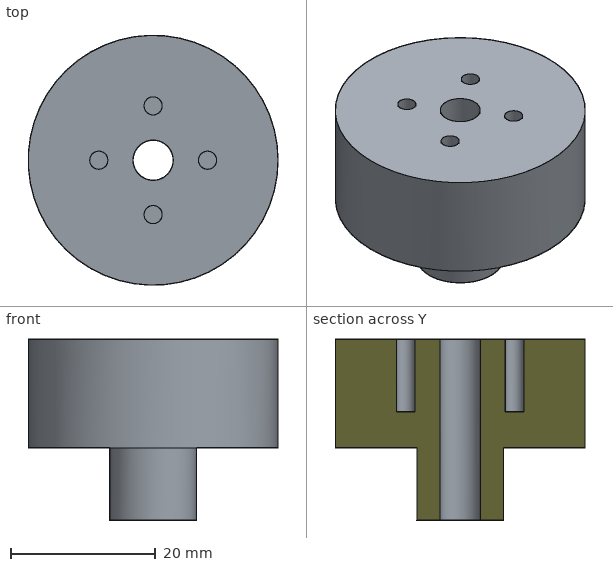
import cadquery as cq

disc_diameter = 34.5
disc_height = 15.0
stem_diameter = 12.0
stem_length = 10.0
bore_diameter = 5.5
screw_hole_diameter = 2.5
screw_hole_depth = 10.0
screw_circle_radius = 7.5
screw_hole_count = 4

total_height = stem_length + disc_height


def make_body():
    """Disc standing on a narrower coaxial stem whose lower end is at Z = 0."""
    stem = cq.Workplane("XY").circle(stem_diameter / 2).extrude(stem_length)
    return stem.faces(">Z").workplane().circle(disc_diameter / 2).extrude(disc_height)


def make_bore():
    """Central bore through the disc and the stem."""
    return cq.Workplane("XY").circle(bore_diameter / 2).extrude(total_height)


def make_screw_holes():
    """Ring of blind holes sunk from the top face of the disc."""
    return (
        cq.Workplane("XY", origin=(0, 0, total_height))
        .polarArray(screw_circle_radius, 0, 360, screw_hole_count)
        .circle(screw_hole_diameter / 2)
        .extrude(-screw_hole_depth)
    )


result = make_body().cut(make_bore()).cut(make_screw_holes())